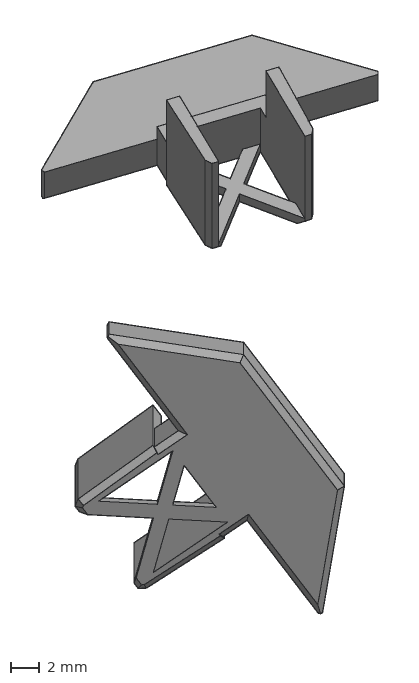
import cadquery as cq

length_x = 16.0
width_y = 25.3
height_z = 8.75
chamfer_height = 0.5
chamfer_inset = 0.45

plate_depth = 6.95
plate_height = 3.03
plate_front_half = 5.97
plate_tip_x = 6.68
plate_back_half = 12.52

frame_half = 4.07
frame_height = 4.25
frame_inner_half = 3.24
frame_inner_x = 8.02
arm_start_x = 9.0
arm_start_half = 4.22
arm_end_half = 4.05
arm_corner_length = 0.48
arm_corner_depth = 0.3

brace_height = 0.75
brace_width_y = 1.35
brace_slope = 2 * frame_inner_half / (length_x - frame_inner_x)
brace_width_x = brace_width_y / brace_slope


def prism(points, height):
    return cq.Workplane("XY").polyline(points).close().extrude(height)


def make_plate():
    """Trapezoid with a chamfered base and its two sharp tips trimmed."""
    half_width = width_y / 2
    sharp_half = plate_front_half + plate_depth
    trapezoid = [
        (0, -plate_front_half),
        (plate_depth, -sharp_half),
        (plate_depth, sharp_half),
        (0, plate_front_half),
    ]
    trimmed = [
        (0, -half_width),
        (plate_tip_x, -half_width),
        (plate_depth, -plate_back_half),
        (plate_depth, plate_back_half),
        (plate_tip_x, half_width),
        (0, half_width),
    ]
    plate = prism(trapezoid, plate_height).faces("<Z").edges().chamfer(chamfer_height, chamfer_inset)
    return plate.intersect(prism(trimmed, plate_height))


def make_connector():
    """Cross wall and short side walls joining the plate to the arms."""
    start_x = plate_depth - chamfer_inset
    outline = [
        (start_x, -frame_half),
        (arm_start_x, -frame_half),
        (arm_start_x, -frame_inner_half),
        (frame_inner_x, -frame_inner_half),
        (frame_inner_x, frame_inner_half),
        (arm_start_x, frame_inner_half),
        (arm_start_x, frame_half),
        (start_x, frame_half),
    ]
    connector = prism(outline, frame_height).faces("<Z").edges("<Y or >Y").chamfer(chamfer_height, chamfer_inset)
    above_plate = cq.Workplane("XY").box(
        plate_depth, width_y, height_z, centered=(False, True, False)
    ).translate((0, 0, plate_height))
    return connector.cut(above_plate)


def make_arm():
    """Tapered upright arm on the +Y side, chamfered below on its outer faces."""
    outline = [
        (arm_start_x, frame_inner_half),
        (length_x, frame_inner_half),
        (length_x, arm_end_half - arm_corner_depth),
        (length_x - arm_corner_length, arm_end_half),
        (arm_start_x, arm_start_half),
    ]
    arm = prism(outline, height_z)
    return arm.faces("<Z").edges("not (<X or >X or <Y)").chamfer(chamfer_height, chamfer_inset)


def make_brace():
    """Diagonal bar from the +Y inner corner of the frame to the end of the -Y arm."""
    outline = [
        (frame_inner_x, frame_inner_half),
        (length_x, -frame_inner_half),
        (length_x - brace_width_x, -frame_inner_half),
        (frame_inner_x, frame_inner_half - brace_width_y),
    ]
    return prism(outline, brace_height)


def trim_end(body):
    """Bevel the lower +X end of the arms and braces."""
    wedge = (
        cq.Workplane("XZ")
        .polyline([(length_x - chamfer_inset, 0), (length_x, 0), (length_x, chamfer_height)])
        .close()
        .extrude(width_y / 2, both=True)
    )
    return body.cut(wedge)


arm = make_arm()
brace = make_brace()
clip = make_connector()
for feature in (arm, brace):
    clip = clip.union(feature).union(feature.mirror("XZ"))
result = make_plate().union(trim_end(clip))